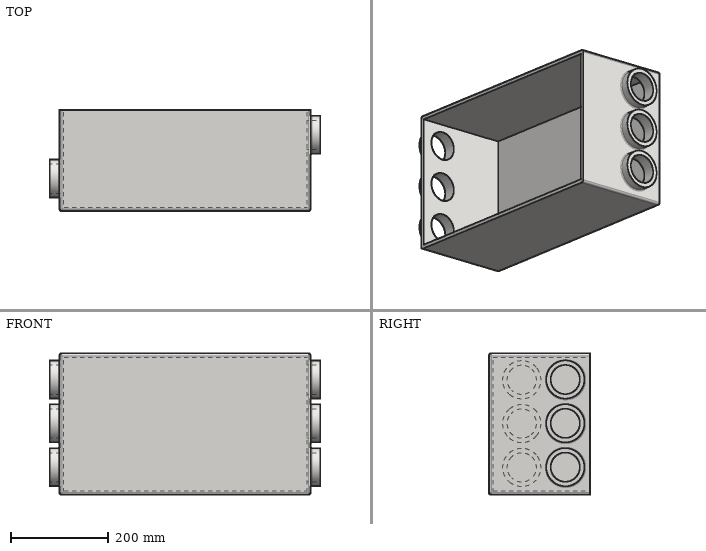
import cadquery as cq

cavity_length = 500.0
cavity_depth = 200.0
cavity_height = 275.0
wall = 8.0
edge_radius = 5.0

collar_outer_diameter = 78.5
bore_diameter = 60.0
collar_length = 20.0
collar_root_radius = 2.0
collar_count = 3
collar_pitch = 90.0
left_row_from_front = 67.0
right_row_from_front = 157.0
lowest_collar_from_bottom = 57.0

box_length = cavity_length + 2 * wall
box_depth = cavity_depth + wall
box_height = cavity_height + 2 * wall

left_face_x = -box_length / 2
right_face_x = box_length / 2
front_face_y = -box_depth / 2
bottom_face_z = -box_height / 2


def make_box():
    """Box with every outer edge rounded except those of the open back."""
    outside = (
        cq.Workplane("XY")
        .box(box_length, box_depth, box_height)
        .edges("not >Y")
        .fillet(edge_radius)
    )
    cavity = (
        cq.Workplane("XY")
        .box(cavity_length, cavity_depth, cavity_height)
        .translate((0, wall / 2, 0))
    )
    return outside.cut(cavity)


def row_heights():
    """Z positions of the collars in a row, from the lowest up."""
    lowest_z = bottom_face_z + lowest_collar_from_bottom
    return [lowest_z + i * collar_pitch for i in range(collar_count)]


def make_collar(face_x, y, z, outward):
    """Solid collar standing on an end wall; its root flares into the wall."""
    outer_radius = collar_outer_diameter / 2
    flare_radius = outer_radius + collar_root_radius
    fillet_centre = cq.Vector(flare_radius, collar_root_radius)
    arc_middle = fillet_centre + cq.Vector(-1, -1).normalized() * collar_root_radius
    profile = (
        cq.Workplane("XY")
        .moveTo(0, 0)
        .lineTo(flare_radius, 0)
        .threePointArc((arc_middle.x, arc_middle.y), (outer_radius, collar_root_radius))
        .lineTo(outer_radius, collar_length)
        .lineTo(0, collar_length)
        .close()
    )
    collar = profile.revolve(360, (0, 0, 0), (0, 1, 0))
    return collar.rotate((0, 0, 0), (0, 0, 1), -90 * outward).translate((face_x, y, z))


def make_bore(face_x, y, z, outward):
    """Cylinder running through a collar and the end wall behind it."""
    start = cq.Vector(face_x - outward * wall, y, z)
    bore = cq.Solid.makeCylinder(
        bore_diameter / 2, wall + collar_length, start, cq.Vector(outward, 0, 0)
    )
    return cq.Workplane(obj=bore)


def add_collar_row(body, face_x, row_from_front, outward):
    """Add one row of bored collars; outward is +1 or -1 along X."""
    y = front_face_y + row_from_front
    for z in row_heights():
        body = body.union(make_collar(face_x, y, z, outward))
        body = body.cut(make_bore(face_x, y, z, outward))
    return body


body = make_box()
body = add_collar_row(body, left_face_x, left_row_from_front, -1)
result = add_collar_row(body, right_face_x, right_row_from_front, 1)